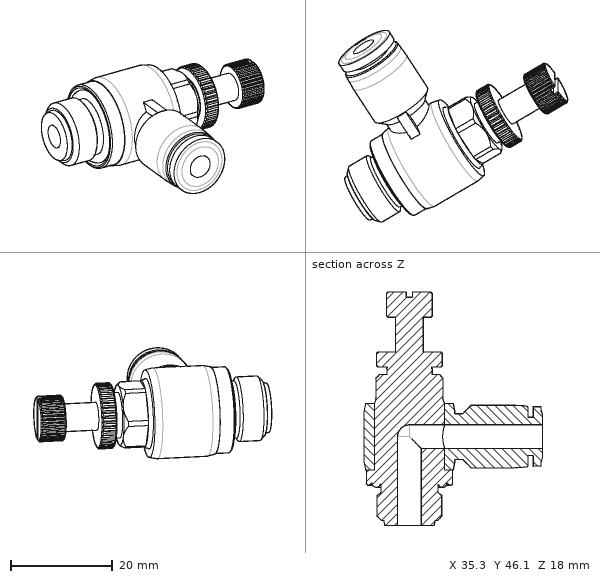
import cadquery as cq
import math


TIP_END = 0.95
THREAD_START = 1.85
THREAD_END = 6.0
NECK_START = 6.5
COLLAR_START = 7.95
HOUSING_START = 11.0
HOUSING_END = 24.1
HEX_START = 25.05
HEX_END = 29.83
NUT_START = 31.25
NUT_END = 34.3
KNOB_START = 41.08
KNOB_END = 46.1

TIP_END_RADIUS = 4.9
TIP_RADIUS = 5.1
THREAD_SHOULDER_RADIUS = 5.55
THREAD_RADIUS = 6.4
NECK_RADIUS = 5.65
COLLAR_RADIUS = 8.55
COLLAR_CHAMFER = 0.28
JOURNAL_RADIUS = 6.95
FLANGE_END_RADIUS = 6.6
BOSS_RADIUS = 4.5
BOSS_CHAMFER = 0.2
BOSS_CHAMFER_START = 31.03
SCREW_RADIUS = 2.75

SEAL_MINOR_RADIUS = 0.88
SEAL_MAJOR_RADIUS = NECK_RADIUS + SEAL_MINOR_RADIUS
SEAL_CENTRE = 8.4
RECESS_RADIUS = 7.95

HEX_ACROSS_FLATS = 12.0
HEX_CORNER_RADIUS = 6.65
HEX_CHAMFER_RADIAL = 0.65
HEX_CHAMFER_AXIAL = 0.75

NUT_RADIUS = 6.5
KNOB_RADIUS = 4.5
KNURL_CHAMFER = 0.28
KNURL_TEETH = 40
KNURL_DEPTH = 0.25
KNURL_GROOVE_SHARE = 0.55
SLOT_WIDTH = 1.2
SLOT_DEPTH = 1.0

PASSAGE_RADIUS = 2.3

HOUSING_RADIUS = 9.0
HOUSING_END_RADIUS = 8.65
HOUSING_TAPER = 1.5

ARM_Y = (HOUSING_START + HOUSING_END) / 2
ARM_NECK_RADIUS = 4.5
CONE_START = 10.5
BARREL_START = 12.15
BARREL_RADIUS = 6.22
BARREL_TAPER_START = 20.2
BARREL_TAPER_MIDDLE = 22.17
BARREL_MIDDLE_RADIUS = 6.15
BARREL_CHAMFER_START = 23.2
BARREL_TAPER_RADIUS = 6.05
BARREL_END = 23.4
BARREL_END_RADIUS = 5.8
RELEASE_NECK_RADIUS = 3.83
RELEASE_START = 24.4
RELEASE_RADIUS = 5.9
RELEASE_RIM_END = 26.0
RELEASE_RIM_RADIUS = 5.2
RELEASE_END = 26.3
RELEASE_END_RADIUS = 4.25

WEB_THICKNESS = 2.07
WEB_HALF_HEIGHT = 6.05
WEB_END = BARREL_START


def turned(points):
    """Solid of revolution about Y from an (r, y) outline that starts and ends on the axis."""
    return cq.Workplane("XY").polyline(points).close().revolve(360, (0, 0, 0), (0, 1, 0))


def cylinder(radius, start, end):
    """Cylinder about Y between two stations."""
    return turned([(0, start), (radius, start), (radius, end), (0, end)])


def knurled_disc(radius, start, end):
    """Chamfered disc about Y with straight V grooves round its rim."""
    disc = cylinder(radius, start, end).edges().chamfer(KNURL_CHAMFER)
    half_groove = math.pi * radius / KNURL_TEETH * KNURL_GROOVE_SHARE
    pitch_angle = 360 / KNURL_TEETH
    groove = (
        cq.Workplane("XZ", origin=(0, start, 0))
        .polyline([
            (radius - KNURL_DEPTH, 0),
            (radius + KNURL_DEPTH, 2 * half_groove),
            (radius + KNURL_DEPTH, -2 * half_groove),
        ])
        .close()
        .extrude(start - end)
    )
    grooves = [
        groove.val().rotate((0, 0, 0), (0, 1, 0), (tooth + 0.5) * pitch_angle)
        for tooth in range(KNURL_TEETH)
    ]
    return disc.cut(cq.Workplane(cq.Compound.makeCompound(grooves)))


def threaded_end():
    """Thread end, neck, seal ring, collar and the journal that carries the housing."""
    return (
        cq.Workplane("XY")
        .moveTo(0, 0)
        .lineTo(TIP_END_RADIUS, 0)
        .lineTo(TIP_RADIUS, TIP_END)
        .lineTo(THREAD_SHOULDER_RADIUS, TIP_END)
        .lineTo(THREAD_RADIUS, THREAD_START)
        .lineTo(THREAD_RADIUS, THREAD_END)
        .lineTo(NECK_RADIUS, NECK_START)
        .lineTo(NECK_RADIUS, SEAL_CENTRE)
        .threePointArc(
            (SEAL_MAJOR_RADIUS, SEAL_CENTRE - SEAL_MINOR_RADIUS),
            (SEAL_MAJOR_RADIUS + SEAL_MINOR_RADIUS, SEAL_CENTRE),
        )
        .lineTo(RECESS_RADIUS, COLLAR_START)
        .lineTo(COLLAR_RADIUS - COLLAR_CHAMFER, COLLAR_START)
        .lineTo(COLLAR_RADIUS, COLLAR_START + COLLAR_CHAMFER)
        .lineTo(COLLAR_RADIUS, HOUSING_START)
        .lineTo(JOURNAL_RADIUS, HOUSING_START)
        .lineTo(JOURNAL_RADIUS, HOUSING_END)
        .lineTo(FLANGE_END_RADIUS, HEX_START)
        .lineTo(0, HEX_START)
        .close()
        .revolve(360, (0, 0, 0), (0, 1, 0))
    )


def hexagon():
    """Hexagon with flats facing +Z and -Z, rounded corners and a chamfered outer end."""
    prism = (
        cq.Workplane("XZ", origin=(0, HEX_START, 0))
        .polygon(6, HEX_ACROSS_FLATS / math.cos(math.pi / 6))
        .extrude(HEX_START - HEX_END)
    )
    envelope = turned([
        (0, HEX_START),
        (HEX_CORNER_RADIUS, HEX_START),
        (HEX_CORNER_RADIUS, HEX_END - HEX_CHAMFER_AXIAL),
        (HEX_CORNER_RADIUS - HEX_CHAMFER_RADIAL, HEX_END),
        (0, HEX_END),
    ])
    return prism.intersect(envelope)


def boss():
    """Round boss between the hexagon and the lock nut."""
    return turned([
        (0, HEX_END),
        (BOSS_RADIUS, HEX_END),
        (BOSS_RADIUS, BOSS_CHAMFER_START),
        (BOSS_RADIUS - BOSS_CHAMFER, NUT_START),
        (0, NUT_START),
    ])


def knob():
    """Knurled adjusting knob with a screwdriver slot along Z."""
    slot = cq.Workplane("XY").box(SLOT_WIDTH, 2 * SLOT_DEPTH, 3 * KNOB_RADIUS)
    return knurled_disc(KNOB_RADIUS, KNOB_START, KNOB_END).cut(slot.translate((0, KNOB_END, 0)))


def flow_passage():
    """Bore from the thread end that turns through a round elbow and leaves along the arm."""
    inlet = cylinder(PASSAGE_RADIUS, 0, ARM_Y)
    elbow = cq.Workplane("XY", origin=(0, ARM_Y, 0)).sphere(PASSAGE_RADIUS)
    outlet = cq.Workplane("YZ", origin=(0, ARM_Y, 0)).circle(PASSAGE_RADIUS).extrude(RELEASE_END)
    return inlet.union(elbow).union(outlet)


def make_stem():
    return (
        threaded_end()
        .union(hexagon())
        .union(boss())
        .union(knurled_disc(NUT_RADIUS, NUT_START, NUT_END))
        .union(cylinder(SCREW_RADIUS, NUT_END, KNOB_START))
        .union(knob())
        .cut(flow_passage())
    )


def housing_ring():
    """Swivel ring round the stem, tapered at both ends."""
    return turned([
        (0, HOUSING_START),
        (HOUSING_END_RADIUS, HOUSING_START),
        (HOUSING_RADIUS, HOUSING_START + HOUSING_TAPER),
        (HOUSING_RADIUS, HOUSING_END - HOUSING_TAPER),
        (HOUSING_END_RADIUS, HOUSING_END),
        (0, HOUSING_END),
    ])


def arm():
    """Push-in arm with its release collar, turned about the arm axis."""
    outline = [
        (0, 0),
        (0, ARM_NECK_RADIUS),
        (CONE_START, ARM_NECK_RADIUS),
        (BARREL_START, BARREL_RADIUS),
        (BARREL_TAPER_START, BARREL_RADIUS),
        (BARREL_TAPER_MIDDLE, BARREL_MIDDLE_RADIUS),
        (BARREL_CHAMFER_START, BARREL_TAPER_RADIUS),
        (BARREL_END, BARREL_END_RADIUS),
        (BARREL_END, RELEASE_NECK_RADIUS),
        (RELEASE_START, RELEASE_NECK_RADIUS),
        (RELEASE_START, RELEASE_RADIUS),
        (RELEASE_RIM_END, RELEASE_RADIUS),
        (RELEASE_RIM_END, RELEASE_RIM_RADIUS),
        (RELEASE_END, RELEASE_END_RADIUS),
        (RELEASE_END, 0),
    ]
    return (
        cq.Workplane("XY", origin=(0, ARM_Y, 0))
        .polyline(outline)
        .close()
        .revolve(360, (0, 0, 0), (1, 0, 0))
    )


def web():
    """Flat web filling the corners between the housing ring and the arm's barrel."""
    return (
        cq.Workplane("XY", origin=(0, ARM_Y, 0))
        .box(WEB_END, WEB_THICKNESS, 2 * WEB_HALF_HEIGHT, centered=(False, True, True))
    )


def make_housing():
    stem_bore = cylinder(JOURNAL_RADIUS, HOUSING_START, HOUSING_END)
    return housing_ring().union(arm()).union(web()).cut(stem_bore).cut(flow_passage())


stem = make_stem()
housing = make_housing()

result = cq.Compound.makeCompound([stem.val(), housing.val()])